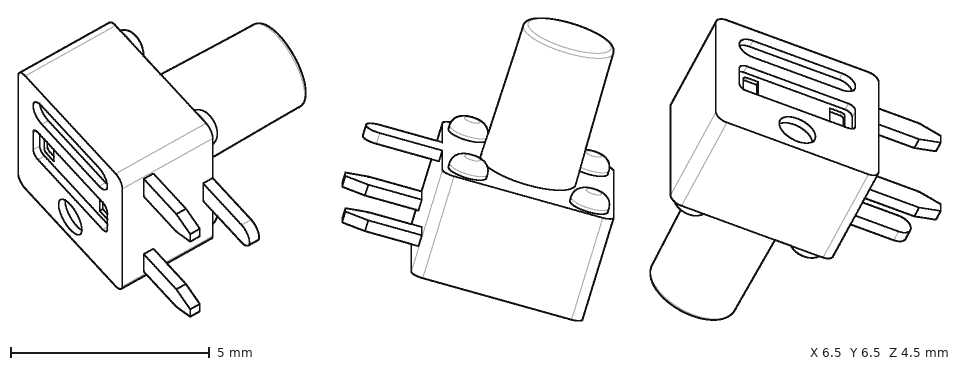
import cadquery as cq

total_width = 6.5
total_depth = 6.5

housing_side = 4.5
housing_depth = 2.8
housing_corner_radius = 0.3
half_side = housing_side / 2

button_length = total_depth - housing_depth
button_base_diameter = 2.5
button_draft_angle = 1.0
button_edge_fillet = 0.1

bump_diameter = 1.0
bump_height = 0.4
bump_fillet = 0.3
bump_spacing = 3.185

pin_width = 0.7
pin_thickness = 0.3
pin_pitch = 1.5
pin_root_overlap = 0.325
pin_start = half_side - pin_root_overlap
pin_end = total_width - half_side
taper_length = 0.6
taper_tip_width = 0.3
front_pin_setback = 0.66

recess_depth = 0.2
recess_length = 3.2
slot_width = 0.73
slot_offset = 1.4
window_height = 1.08
window_corner_radius = 0.2
window_pocket_width = 0.41
window_pocket_height = 0.7
window_pocket_inset = 0.2
window_pocket_corner_radius = 0.1
window_pocket_depth = 0.1
round_recess_diameter = 1.0
round_recess_offset = -1.44


def front_plane(y):
    """XZ sketch plane at the given Y; its normal is -Y, so a negative extrusion runs toward +Y."""
    return cq.Workplane(cq.Plane(origin=(0, y, 0), xDir=(1, 0, 0), normal=(0, -1, 0)))


def make_housing():
    block = front_plane(0).rect(housing_side, housing_side).extrude(-housing_depth)
    return block.edges("|Y").fillet(housing_corner_radius)


def make_button():
    button = (
        front_plane(housing_depth)
        .circle(button_base_diameter / 2)
        .extrude(-button_length, taper=button_draft_angle)
    )
    return button.faces(">Y").edges().fillet(button_edge_fillet)


def make_bumps():
    bumps = (
        front_plane(housing_depth)
        .rarray(bump_spacing, bump_spacing, 2, 2)
        .circle(bump_diameter / 2)
        .extrude(-bump_height)
    )
    return bumps.faces(">Y").edges().fillet(bump_fillet)


def make_tapered_pin(z):
    taper_start = pin_end - taper_length
    return (
        front_plane(front_pin_setback)
        .moveTo(pin_start, z - pin_width / 2)
        .lineTo(taper_start, z - pin_width / 2)
        .lineTo(pin_end, z - taper_tip_width / 2)
        .lineTo(pin_end, z + taper_tip_width / 2)
        .lineTo(taper_start, z + pin_width / 2)
        .lineTo(pin_start, z + pin_width / 2)
        .close()
        .extrude(-pin_thickness)
    )


def make_rounded_pin():
    tip_start = pin_end - pin_width / 2
    return (
        front_plane(housing_depth - pin_thickness)
        .moveTo(pin_start, -pin_width / 2)
        .lineTo(tip_start, -pin_width / 2)
        .threePointArc((pin_end, 0), (tip_start, pin_width / 2))
        .lineTo(pin_start, pin_width / 2)
        .close()
        .extrude(-pin_thickness)
    )


def make_slot():
    return front_plane(0).center(0, slot_offset).slot2D(recess_length, slot_width).extrude(-recess_depth)


def make_round_recess():
    sketch = front_plane(0).center(0, round_recess_offset).circle(round_recess_diameter / 2)
    return sketch.extrude(-recess_depth)


def make_window():
    window = front_plane(0).rect(recess_length, window_height).extrude(-recess_depth)
    return window.edges("|Y").fillet(window_corner_radius)


def make_window_pocket(side):
    """Small pocket in the window floor; side is -1 or +1, outer corners are rounded."""
    center_x = side * (recess_length / 2 - window_pocket_inset - window_pocket_width / 2)
    outer_face = ">X" if side > 0 else "<X"
    pocket = (
        front_plane(recess_depth)
        .center(center_x, 0)
        .rect(window_pocket_width, window_pocket_height)
        .extrude(-window_pocket_depth)
    )
    return pocket.faces(outer_face).edges("|Y").fillet(window_pocket_corner_radius)


result = make_housing().union(make_button()).union(make_bumps())
result = result.union(make_rounded_pin())
for z in (-pin_pitch, pin_pitch):
    result = result.union(make_tapered_pin(z))

result = result.cut(make_slot()).cut(make_round_recess()).cut(make_window())
for side in (-1, 1):
    result = result.cut(make_window_pocket(side))